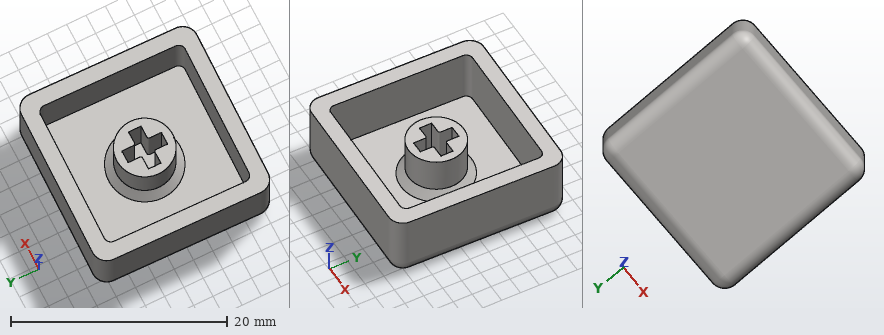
import cadquery as cq
import math

envelope = 18.28
height = 6.9
turn = -1.0

corner_radius = 1.46
wall = 1.59
cavity_corner_radius = 0.68
floor = 1.4

turn_angle = math.radians(abs(turn))
straight = (envelope - 2 * corner_radius) / (math.cos(turn_angle) + math.sin(turn_angle))
side = straight + 2 * corner_radius
cavity_side = side - 2 * wall

stem_diameter = 5.8
stem_top = 5.85
foot_size = 0.82
cross_length = 4.08
cross_width = 1.28
cross_inner_radius = 0.2


def make_shell():
    block = cq.Workplane("XY").rect(side, side).extrude(height)
    block = block.edges("|Z").fillet(corner_radius)
    block = block.faces("<Z").edges().fillet(corner_radius)
    cavity = cq.Workplane("XY").workplane(offset=floor).rect(cavity_side, cavity_side)
    cavity = cavity.extrude(height - floor).edges("|Z").fillet(cavity_corner_radius)
    return block.cut(cavity).rotate((0, 0, 0), (0, 0, 1), turn)


def make_stem():
    radius = stem_diameter / 2
    profile = (
        cq.Workplane("XZ")
        .moveTo(0, floor)
        .lineTo(radius + foot_size, floor)
        .lineTo(radius, floor + foot_size)
        .lineTo(radius, stem_top)
        .lineTo(0, stem_top)
        .close()
    )
    return profile.revolve(360, (0, 0), (0, 1))


def make_cross():
    depth = stem_top - floor
    base = cq.Workplane("XY").workplane(offset=floor)
    cross = base.rect(cross_length, cross_width).extrude(depth)
    cross = cross.union(base.rect(cross_width, cross_length).extrude(depth))
    half = cross_width / 2
    box = cq.selectors.BoxSelector(
        (-half - cross_inner_radius, -half - cross_inner_radius, floor),
        (half + cross_inner_radius, half + cross_inner_radius, stem_top),
    )
    return cross.edges("|Z").edges(box).fillet(cross_inner_radius)


result = make_shell().union(make_stem()).cut(make_cross())